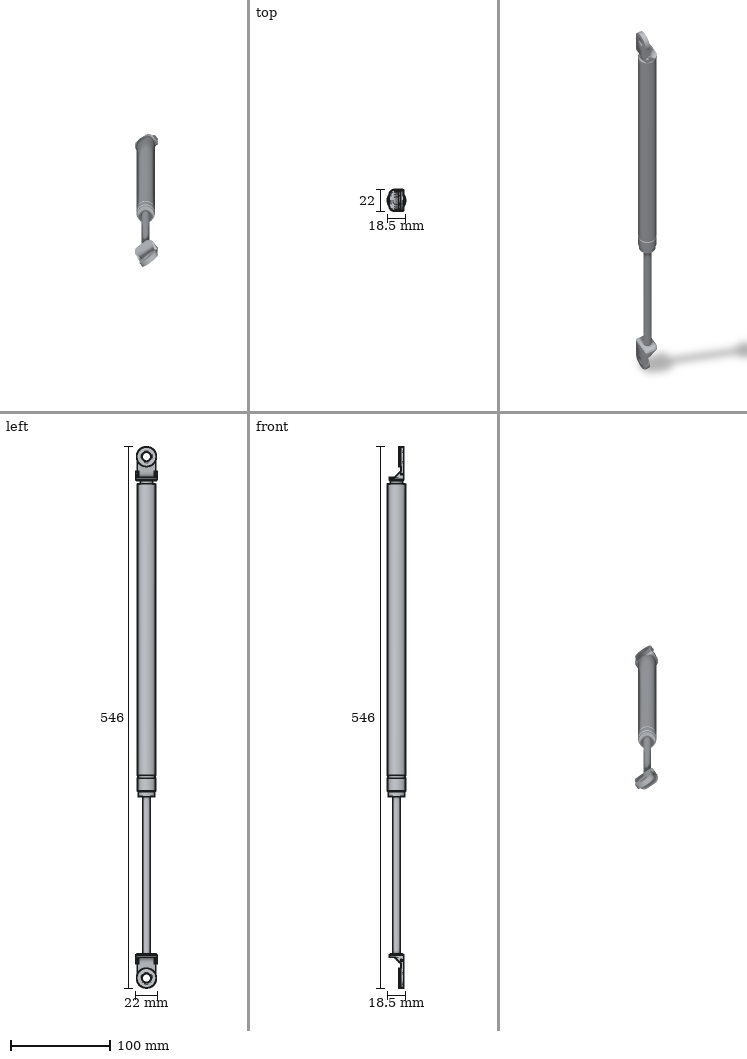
import cadquery as cq


seat_thickness = 3.5
plate_thickness = 3.0
bracket_half_depth = 7.5
seat_width = 22.0
seat_corner_radius = 6.0
back_corner_radius = 2.0
heel_chamfer = 1.5
tongue_width = 19.0
shoulder_bottom = 6.0
shoulder_top = 7.5
seat_to_eye = 24.5
gusset_size = 6.5
gusset_root_width = 3.0
gusset_tip_width = 1.0

eye_spacing = 526.0
eye_radius = 10.0
eye_bore = 12.0
bushing_flange = 2.0
bushing_bore = 9.0

tube_diameter = 18.5
tube_bottom = 183.0
tube_length = 315.5
tube_top_fillet = 1.0
neck_diameter = 13.0
end_step_height = 6.0
end_step_diameter = 17.0
end_taper_height = 1.0
crimp_height = 20.0
crimp_half_height = 1.6
crimp_depth = 0.8

rod_diameter = 8.0

eye_face_x = bracket_half_depth - plate_thickness
bracket_depth = 2 * bracket_half_depth
upper_seat = eye_spacing - seat_to_eye
tube_top = tube_bottom + tube_length


def cross_disc(x_start, diameter, thickness):
    """Disc lying across X, centred on the bracket eye."""
    return (
        cq.Workplane("YZ", origin=(x_start, 0, seat_to_eye))
        .circle(diameter / 2)
        .extrude(thickness)
    )


def make_seat():
    """Flat seat, with large front corners."""
    return (
        cq.Workplane("XY")
        .rect(bracket_depth, seat_width)
        .extrude(seat_thickness)
        .edges("|Z and <X")
        .fillet(seat_corner_radius)
        .edges("|Z and >X")
        .fillet(back_corner_radius)
    )


def make_eye_plate():
    """Upright plate: wide foot, sloped shoulders, straight tongue and round end."""
    half_seat = seat_width / 2
    half_tongue = tongue_width / 2
    plate = (
        cq.Workplane("YZ", origin=(eye_face_x, 0, 0))
        .moveTo(-half_seat, 0)
        .lineTo(half_seat, 0)
        .lineTo(half_seat, shoulder_bottom)
        .lineTo(half_tongue, shoulder_top)
        .lineTo(half_tongue, seat_to_eye)
        .lineTo(-half_tongue, seat_to_eye)
        .lineTo(-half_tongue, shoulder_top)
        .lineTo(-half_seat, shoulder_bottom)
        .close()
        .extrude(plate_thickness)
    )
    plate = plate.edges("|Z and >X").edges("<Y or >Y").fillet(back_corner_radius)
    return plate.union(cross_disc(eye_face_x, 2 * eye_radius, plate_thickness))


def make_gusset(side):
    """Triangular gusset at one end of the bend, thinning away from the eye plate."""
    outer = side * seat_width / 2
    tip_x = eye_face_x - gusset_size
    slope = (
        cq.Workplane("XZ")
        .moveTo(tip_x, seat_thickness)
        .lineTo(eye_face_x, seat_thickness)
        .lineTo(eye_face_x, seat_thickness + gusset_size)
        .close()
        .extrude(seat_width / 2, both=True)
    )
    plan = (
        cq.Workplane("XY")
        .moveTo(tip_x, outer)
        .lineTo(eye_face_x, outer)
        .lineTo(eye_face_x, outer - side * gusset_root_width)
        .lineTo(tip_x, outer - side * gusset_tip_width)
        .close()
        .extrude(seat_thickness + gusset_size)
    )
    return slope.intersect(plan)


def make_bracket():
    bracket = make_seat().union(make_eye_plate())
    for side in (-1, 1):
        bracket = bracket.union(make_gusset(side))
    bracket = bracket.edges("|Y and >X and <Z").chamfer(heel_chamfer)
    return bracket.cut(cross_disc(eye_face_x, eye_bore, plate_thickness))


def make_bushing():
    """Flanged bushing; the flange lies on the inner face of the eye plate."""
    flange_x = eye_face_x - bushing_flange
    flange = cross_disc(flange_x, 2 * eye_radius, bushing_flange)
    barrel = cross_disc(eye_face_x, eye_bore, plate_thickness)
    bore = cross_disc(flange_x, bushing_bore, bushing_flange + plate_thickness)
    return flange.union(barrel).cut(bore)


def at_upper_end(body):
    return body.translate((0, 0, upper_seat))


def at_lower_end(body):
    return body.mirror("XY").translate((0, 0, seat_to_eye))


def make_tube():
    """Tube and neck as one revolved profile."""
    radius = tube_diameter / 2
    crimp_z = tube_bottom + crimp_height
    step_top = tube_bottom + end_step_height
    neck_radius = neck_diameter / 2
    return (
        cq.Workplane("XZ")
        .moveTo(0, tube_bottom)
        .lineTo(-end_step_diameter / 2, tube_bottom)
        .lineTo(-end_step_diameter / 2, step_top - end_taper_height)
        .lineTo(-radius, step_top)
        .lineTo(-radius, crimp_z - crimp_half_height)
        .threePointArc((crimp_depth - radius, crimp_z), (-radius, crimp_z + crimp_half_height))
        .lineTo(-radius, tube_top - tube_top_fillet)
        .radiusArc((tube_top_fillet - radius, tube_top), tube_top_fillet)
        .lineTo(-neck_radius, tube_top)
        .lineTo(-neck_radius, upper_seat)
        .lineTo(0, upper_seat)
        .close()
        .revolve(360, (0, 0, 0), (0, 1, 0))
    )


def make_rod():
    """Piston rod between the lower seat and the tube end."""
    return (
        cq.Workplane("XY", origin=(0, 0, seat_to_eye))
        .circle(rod_diameter / 2)
        .extrude(tube_bottom - seat_to_eye)
    )


bodies = [make_tube(), make_rod()]
for place in (at_upper_end, at_lower_end):
    bodies.append(place(make_bracket()))
    bodies.append(place(make_bushing()))

result = cq.Compound.makeCompound([body.val() for body in bodies])